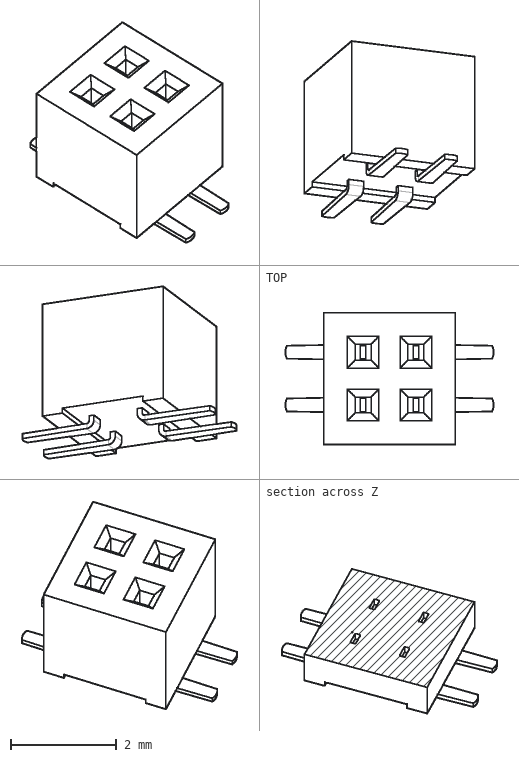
import cadquery as cq
import math

overall_height = 2.4
housing_side = 2.5
housing_bottom = 0.15
relief_height = 0.1
rail_width = 0.415
pitch = 1.0

opening_side = 0.6
bore_side = 0.3
lead_in_depth = (opening_side - bore_side) / 2
bore_floor = 1.0

sheet = 0.1
leg_width = 0.3
tip_width = 0.25
tip_bulge = 0.03
leg_embedment = 0.1
overall_length = 3.95
bend_inner_radius = 0.05
bend_outer_radius = bend_inner_radius + sheet

tine_lead_in = 0.025
tine_gap_depth = 0.3

relief_top = housing_bottom + relief_height
leg_top = relief_top + leg_embedment
tip_x = overall_length / 2
leg_outer_x = pitch / 2 + sheet / 2
leg_inner_x = pitch / 2 - sheet / 2
bend_x = leg_outer_x + bend_inner_radius


def make_housing():
    """Square block with a relief channel along Y underneath."""
    block = cq.Workplane("XY").workplane(offset=housing_bottom).rect(housing_side, housing_side)
    block = block.extrude(overall_height - housing_bottom)
    relief_width = housing_side - 2 * rail_width
    relief = cq.Workplane("XY").workplane(offset=housing_bottom).rect(relief_width, housing_side)
    return block.cut(relief.extrude(relief_height))


def make_socket_cutter(x, y):
    """Pyramidal lead-in, square bore and the narrow gap between the contact tines."""
    lead_in = (
        cq.Workplane("XY", origin=(x, y, overall_height))
        .rect(opening_side, opening_side)
        .workplane(offset=-lead_in_depth)
        .rect(bore_side, bore_side)
        .loft(ruled=True)
    )
    bore_height = overall_height - lead_in_depth - bore_floor
    bore = cq.Workplane("XY", origin=(x, y, bore_floor)).rect(bore_side, bore_side).extrude(bore_height)

    half_bore = bore_side / 2
    half_gap = half_bore - tine_lead_in
    tine_gap = (
        cq.Workplane("YZ", origin=(x, y, bore_floor))
        .moveTo(-half_bore, 0)
        .lineTo(-half_gap, -tine_lead_in)
        .lineTo(-half_gap, -tine_gap_depth)
        .lineTo(half_gap, -tine_gap_depth)
        .lineTo(half_gap, -tine_lead_in)
        .lineTo(half_bore, 0)
        .close()
        .extrude(sheet / 2, both=True)
    )
    return lead_in.union(bore).union(tine_gap)


def make_contact(y):
    """Bent sheet tail on the +X side: vertical leg, rounded bend and tapered foot."""
    diagonal = math.sqrt(0.5)
    bend_z = bend_outer_radius
    profile = (
        cq.Workplane("XZ")
        .moveTo(leg_inner_x, leg_top)
        .lineTo(leg_inner_x, bend_z)
        .threePointArc(
            (bend_x - bend_outer_radius * diagonal, bend_z - bend_outer_radius * diagonal),
            (bend_x, 0),
        )
        .lineTo(tip_x, 0)
        .lineTo(tip_x, sheet)
        .lineTo(bend_x, sheet)
        .threePointArc(
            (bend_x - bend_inner_radius * diagonal, bend_z - bend_inner_radius * diagonal),
            (leg_outer_x, bend_z),
        )
        .lineTo(leg_outer_x, leg_top)
        .close()
        .extrude(leg_width / 2, both=True)
    )
    plan = (
        cq.Workplane("XY")
        .moveTo(leg_inner_x, -leg_width / 2)
        .lineTo(bend_x, -leg_width / 2)
        .lineTo(tip_x - tip_bulge, -tip_width / 2)
        .threePointArc((tip_x, 0), (tip_x - tip_bulge, tip_width / 2))
        .lineTo(bend_x, leg_width / 2)
        .lineTo(leg_inner_x, leg_width / 2)
        .close()
        .extrude(leg_top)
    )
    return profile.intersect(plan).translate((0, y, 0))


result = make_housing()
for y in (-pitch / 2, pitch / 2):
    contact = make_contact(y)
    result = result.union(contact).union(contact.mirror("YZ"))
    for x in (-pitch / 2, pitch / 2):
        result = result.cut(make_socket_cutter(x, y))